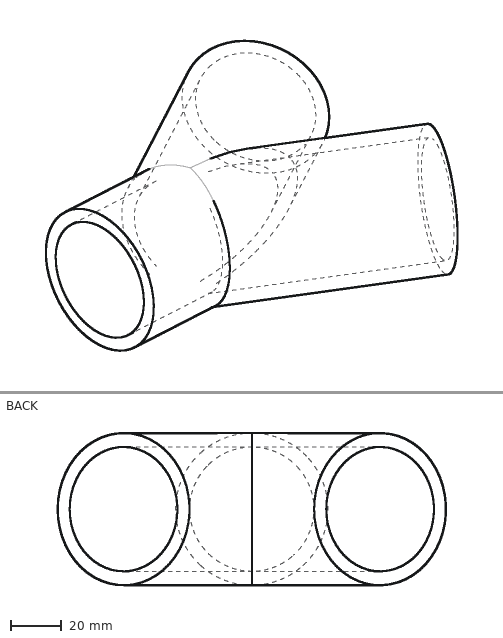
import cadquery as cq
import math

OUTER_DIAMETER = 60.33
BORE_DIAMETER = 49.25
TRUNK_LENGTH = 50.8
BRANCH_LENGTH = 101.6
BRANCH_ANGLE = 30.0


def rod(diameter, length, direction):
    """Solid cylinder running from the axis junction along a direction."""
    return cq.Workplane(
        obj=cq.Solid.makeCylinder(diameter / 2, length, cq.Vector(0, 0, 0), direction)
    )


def branch_direction(side):
    """Unit vector along the branch on the given X side (-1 or +1)."""
    angle = math.radians(BRANCH_ANGLE)
    return cq.Vector(side * math.sin(angle), math.cos(angle), 0)


def wye(diameter):
    """Solid three-legged body in which every leg has the same diameter."""
    body = rod(diameter, TRUNK_LENGTH, cq.Vector(0, -1, 0))
    for side in (-1, 1):
        body = body.union(rod(diameter, BRANCH_LENGTH, branch_direction(side)))
    return body


result = wye(OUTER_DIAMETER).cut(wye(BORE_DIAMETER))